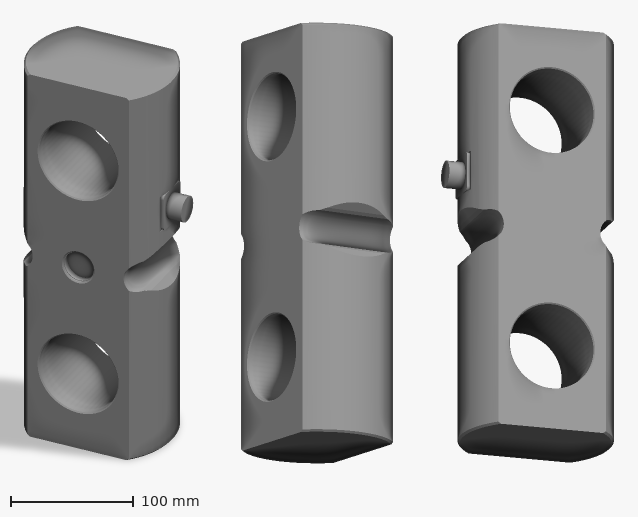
import cadquery as cq
import math

length = 340.0
bar_radius = 63.5
flat_thickness = 88.0
end_chamfer = 1.7

bore_diameter = 71.5
bore_chamfer = 1.0
bore_offset = 100.0

recess_diameter = 26.5
recess_depth = 7.5
recess_mouth_diameter = 27.5
recess_mouth_depth = 2.0
recess_chamfer = 1.0

groove_radius = 14.0
groove_floor = 41.0
floor_end = 54.5
mouth_start = 57.5
mouth_half_height = 16.0
groove_clearance = 3.5

plate_width = 31.3
plate_height = 32.5
plate_corner_radius = 3.5
plate_thickness = 2.7
stub_diameter = 22.5
stub_length = 13.5
connector_z = 51.5

front_face = -flat_thickness / 2


def make_bar():
    """Chamfered round bar cut down to two parallel flats."""
    round_bar = (
        cq.Workplane("XY")
        .circle(bar_radius)
        .extrude(length / 2, both=True)
        .edges()
        .chamfer(end_chamfer)
    )
    slab = cq.Workplane("XY").box(2 * bar_radius, flat_thickness, length)
    return round_bar.intersect(slab)


def make_cross_bore(z):
    """Through bore along Y, widened by a chamfer at both flats."""
    half_bore = (
        cq.Workplane("XY")
        .moveTo(0, front_face)
        .lineTo(bore_diameter / 2 + bore_chamfer, front_face)
        .lineTo(bore_diameter / 2, front_face + bore_chamfer)
        .lineTo(bore_diameter / 2, -front_face - bore_chamfer)
        .lineTo(bore_diameter / 2 + bore_chamfer, -front_face)
        .lineTo(0, -front_face)
        .close()
    )
    return half_bore.revolve(360, (0, 0, 0), (0, 1, 0)).translate((0, 0, z))


def make_recess():
    """Stepped blind hole with a chamfered mouth, entering from the -Y flat."""
    half_recess = (
        cq.Workplane("XY")
        .moveTo(0, front_face)
        .lineTo(recess_mouth_diameter / 2 + recess_chamfer, front_face)
        .lineTo(recess_mouth_diameter / 2, front_face + recess_chamfer)
        .lineTo(recess_mouth_diameter / 2, front_face + recess_mouth_depth)
        .lineTo(recess_diameter / 2, front_face + recess_mouth_depth)
        .lineTo(recess_diameter / 2, front_face + recess_depth)
        .lineTo(0, front_face + recess_depth)
        .close()
    )
    return half_recess.revolve(360, (0, 0, 0), (0, 1, 0))


def make_groove(side):
    """Groove along Y: round floor, flaring walls, and a 45 degree mouth."""
    centre_x = groove_floor + groove_radius
    floor_end_z = math.sqrt(groove_radius**2 - (centre_x - floor_end) ** 2)
    outer_x = bar_radius + groove_clearance
    outer_z = mouth_half_height + outer_x - mouth_start
    return (
        cq.Workplane("XZ")
        .moveTo(side * floor_end, floor_end_z)
        .threePointArc((side * groove_floor, 0), (side * floor_end, -floor_end_z))
        .lineTo(side * mouth_start, -mouth_half_height)
        .lineTo(side * outer_x, -outer_z)
        .lineTo(side * outer_x, outer_z)
        .lineTo(side * mouth_start, mouth_half_height)
        .close()
        .extrude(flat_thickness, both=True)
    )


def make_plate():
    """Rounded connector plate, its outer face level with the crown of the bar."""
    return (
        cq.Workplane("XY")
        .box(plate_thickness, plate_width, plate_height)
        .edges("|X")
        .fillet(plate_corner_radius)
        .translate((bar_radius - plate_thickness / 2, 0, connector_z))
    )


def make_plate_seat():
    """Slot across the bar as high and as deep as the plate, open at both ends along Y."""
    return cq.Workplane("XY").box(plate_thickness, flat_thickness, plate_height).translate(
        (bar_radius - plate_thickness / 2, 0, connector_z)
    )


def make_connector():
    stub = (
        cq.Workplane("YZ", origin=(bar_radius - plate_thickness, 0, connector_z))
        .circle(stub_diameter / 2)
        .extrude(plate_thickness + stub_length)
    )
    return make_plate().union(stub)


def make_housing():
    housing = make_bar()
    for z in (-bore_offset, bore_offset):
        housing = housing.cut(make_cross_bore(z))
    for side in (-1, 1):
        housing = housing.cut(make_groove(side))
    housing = housing.cut(make_recess())
    return housing.cut(make_plate_seat())


housing = make_housing()
connector = make_connector()

result = cq.Compound.makeCompound([housing.solids().val(), connector.solids().val()])